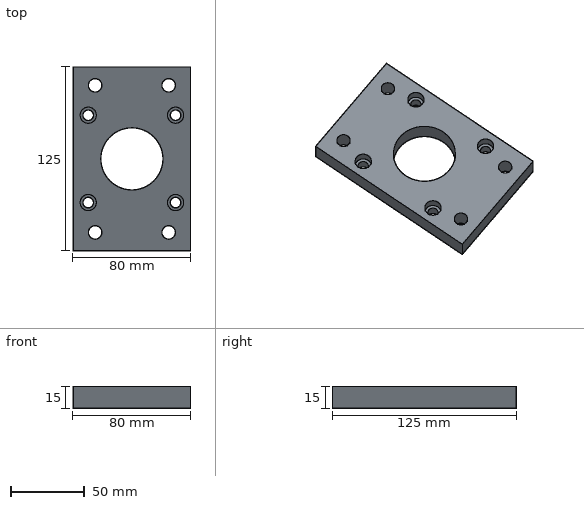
import cadquery as cq

plate_width = 80.0
plate_length = 125.0
plate_thickness = 15.0

bore_diameter = 42.1

corner_hole_diameter = 9.0
corner_spacing_x = 50.0
corner_spacing_y = 100.0

bolt_spacing = 59.4
bolt_hole_diameter = 7.0
counterbore_diameter = 11.0
counterbore_depth = 7.0


def make_plate():
    """Rectangular plate resting on Z = 0."""
    return cq.Workplane("XY").box(
        plate_width, plate_length, plate_thickness, centered=(True, True, False)
    )


def on_top(body):
    """Workplane on the top face, at the plate centre."""
    return body.faces(">Z").workplane(origin=(0, 0, plate_thickness))


def cut_bore(body):
    return on_top(body).hole(bore_diameter)


def cut_corner_holes(body):
    pattern = on_top(body).rect(corner_spacing_x, corner_spacing_y, forConstruction=True)
    return pattern.vertices().hole(corner_hole_diameter)


def cut_bolt_holes(body):
    pattern = on_top(body).rect(bolt_spacing, bolt_spacing, forConstruction=True)
    return pattern.vertices().cboreHole(
        bolt_hole_diameter, counterbore_diameter, counterbore_depth
    )


result = cut_bolt_holes(cut_corner_holes(cut_bore(make_plate())))